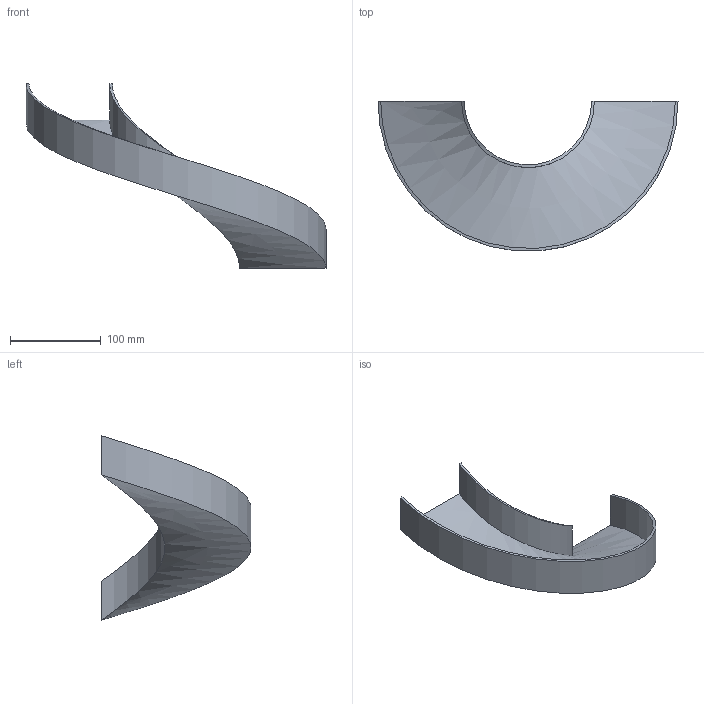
import cadquery as cq

outer_radius = 165.0
inner_radius = 70.0
wall_thickness = 3.0
floor_thickness = 3.0
channel_height = 43.0
rise = 160.0

channel_profile = [
    (inner_radius, 0),
    (outer_radius, 0),
    (outer_radius, channel_height),
    (outer_radius - wall_thickness, channel_height),
    (outer_radius - wall_thickness, floor_thickness),
    (inner_radius + wall_thickness, floor_thickness),
    (inner_radius + wall_thickness, channel_height),
    (inner_radius, channel_height),
]


def helical_channel():
    """Sweep the profile half a turn, clockwise seen from above as it climbs."""
    half_turn_path = cq.Wire.makeHelix(2 * rise, rise, outer_radius, lefthand=True)
    section = cq.Workplane("XZ").polyline(channel_profile).close()
    return section.sweep(cq.Workplane(obj=half_turn_path), isFrenet=True)


result = helical_channel()